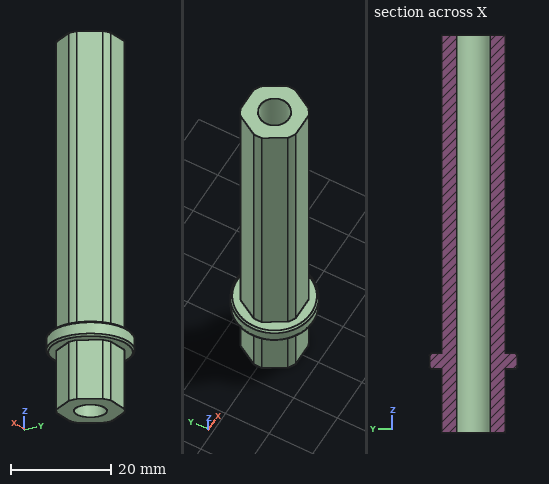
import cadquery as cq
import math

shaft_length = 79.38
across_flats = 12.7
corner_diameter = 13.7
bore_diameter = 6.6

collar_diameter = 17.65
collar_thickness = 3.175
collar_bottom = 12.7
collar_chamfer = 0.4


def hex_shaft():
    """Hexagonal bar along Z, two flats facing Y, its corners turned down to a cylinder."""
    across_corners = across_flats / math.cos(math.radians(30))
    bar = cq.Workplane("XY").polygon(6, across_corners).extrude(shaft_length)
    turning = cq.Workplane("XY").circle(corner_diameter / 2).extrude(shaft_length)
    return bar.intersect(turning)


def collar():
    """Disc around the shaft with both rims chamfered."""
    disc = (
        cq.Workplane("XY")
        .workplane(offset=collar_bottom)
        .circle(collar_diameter / 2)
        .extrude(collar_thickness)
    )
    return disc.faces("<Z or >Z").edges().chamfer(collar_chamfer)


def bore():
    """Cylinder that clears the full length of the shaft."""
    return cq.Workplane("XY").circle(bore_diameter / 2).extrude(shaft_length)


result = hex_shaft().union(collar()).cut(bore())